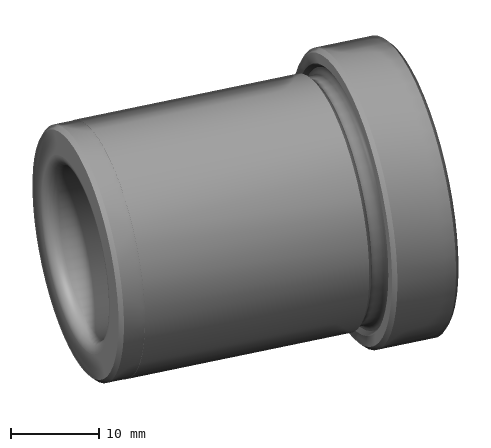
import cadquery as cq

total_length = 40.0
flange_length = 8.0
flange_diameter = 35.0
body_diameter = 30.0
bore_diameter = 20.0

edge_chamfer = 0.5
bore_mouth_radius = 1.5

lead_diameter = 29.9
lead_length = 3.0

groove_diameter = 29.0
groove_width = 1.5
undercut_depth = 0.5
undercut_mouth_radius = 15.75
undercut_floor_radius = 15.3
undercut_fillet = 0.6

flange_radius = flange_diameter / 2
body_radius = body_diameter / 2
lead_radius = lead_diameter / 2
groove_radius = groove_diameter / 2
bore_radius = bore_diameter / 2

flange_face = total_length - flange_length
undercut_floor = flange_face + undercut_depth
groove_start = flange_face - groove_width
groove_slope = body_radius - groove_radius


def turned_bushing():
    """Half section from the bore out to the stepped outside, turned about Y."""
    return (
        cq.Workplane("XY")
        .moveTo(bore_radius, bore_mouth_radius)
        .radiusArc((bore_radius + bore_mouth_radius, 0), -bore_mouth_radius)
        .lineTo(lead_radius - edge_chamfer, 0)
        .lineTo(lead_radius, edge_chamfer)
        .lineTo(lead_radius, lead_length)
        .lineTo(body_radius, lead_length)
        .lineTo(body_radius, groove_start - groove_slope)
        .lineTo(groove_radius, groove_start)
        .lineTo(groove_radius, undercut_floor - undercut_fillet)
        .radiusArc((groove_radius + undercut_fillet, undercut_floor), undercut_fillet)
        .lineTo(undercut_floor_radius, undercut_floor)
        .lineTo(undercut_mouth_radius, flange_face)
        .lineTo(flange_radius - edge_chamfer, flange_face)
        .lineTo(flange_radius, flange_face + edge_chamfer)
        .lineTo(flange_radius, total_length - edge_chamfer)
        .lineTo(flange_radius - edge_chamfer, total_length)
        .lineTo(bore_radius, total_length)
        .close()
        .revolve(360, (0, 0, 0), (0, 1, 0))
    )


result = turned_bushing()